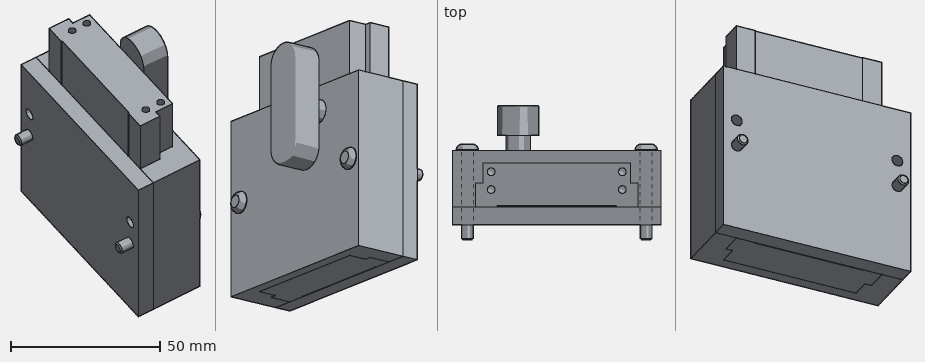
import cadquery as cq
import math


WIDTH = 70.0
BODY_HEIGHT = 62.0
PLATE_THICKNESS = 6.1
HOUSING_DEPTH = 18.9
HOUSING_BACK = PLATE_THICKNESS + HOUSING_DEPTH

SLIDE_HEIGHT = 83.0
SLIDE_WIDE_WIDTH = 54.4
SLIDE_NARROW_WIDTH = 49.5
SLIDE_WIDE_DEPTH = 8.0
CHANNEL_BACK_WALL = 4.15
SLIDE_DEPTH = HOUSING_DEPTH - CHANNEL_BACK_WALL
RELIEF_WIDTH = 40.0
RELIEF_DEPTH = 0.3

DRILL_DIAMETER = 2.6
DRILL_DEPTH = 10.0
DRILL_TIP_ANGLE = 118.0
DRILL_SPACING_X = 44.0
DRILL_SPACING_Y = 6.0
DRILL_BACK_MARGIN = 3.0

SCREW_DIAMETER = 4.0
SCREW_SPACING = 60.0
SCREW_Z = 32.0
SCREW_PROJECTION = 5.0
SCREW_TIP_CHAMFER = 0.5
HEAD_DIAMETER = 7.6
HEAD_HEIGHT = 2.15
HEAD_TOP_DIAMETER = 4.3
HEAD_RIM = 0.25
HEAD_BULGE = 0.3
SPARE_HOLE_RISE = 10.0
SPARE_HOLE_Z = SCREW_Z + SPARE_HOLE_RISE

KNOB_X = -12.95
KNOB_Z = 52.95
KNOB_LENGTH = 42.9
KNOB_WIDTH = 13.95
KNOB_DEPTH = 10.0
KNOB_EDGE_RADIUS = 0.5
SHAFT_DIAMETER = 8.3
SHAFT_LENGTH = 5.1

SCREW_XS = (-SCREW_SPACING / 2, SCREW_SPACING / 2)


def box_between(width, y_start, y_end, height):
    """Block centred on X and standing on the underside plane."""
    block = cq.Workplane("XY").box(width, y_end - y_start, height, centered=(True, False, False))
    return block.translate((0, y_start, 0))


def rod_along_y(diameter, x, z, y_start, y_end):
    """Round rod parallel to Y, also used as the cutter for round holes."""
    axis_start = cq.Vector(x, y_start, z)
    return cq.Workplane(
        cq.Solid.makeCylinder(diameter / 2, y_end - y_start, axis_start, cq.Vector(0, 1, 0))
    )


def stepped_bar(height):
    """T-shaped section: wide against the cover plate, narrower behind."""
    wide = box_between(SLIDE_WIDE_WIDTH, PLATE_THICKNESS, PLATE_THICKNESS + SLIDE_WIDE_DEPTH, height)
    narrow = box_between(SLIDE_NARROW_WIDTH, PLATE_THICKNESS, PLATE_THICKNESS + SLIDE_DEPTH, height)
    return wide.union(narrow)


def drill_cutter(x, y):
    """Blind hole from the top of the slide, ending in a conical drill tip."""
    radius = DRILL_DIAMETER / 2
    tip_height = radius / math.tan(math.radians(DRILL_TIP_ANGLE / 2))
    return (
        cq.Workplane("XZ")
        .polyline([(0, 0), (radius, 0), (radius, -DRILL_DEPTH), (0, -DRILL_DEPTH - tip_height)])
        .close()
        .revolve(360, (0, 0, 0), (0, 1, 0))
        .translate((x, y, SLIDE_HEIGHT))
    )


def make_plate():
    plate = box_between(WIDTH, 0, PLATE_THICKNESS, BODY_HEIGHT)
    for x in SCREW_XS:
        for z in (SCREW_Z, SPARE_HOLE_Z):
            plate = plate.cut(rod_along_y(SCREW_DIAMETER, x, z, 0, PLATE_THICKNESS))
    return plate


def make_housing():
    housing = box_between(WIDTH, PLATE_THICKNESS, HOUSING_BACK, BODY_HEIGHT)
    housing = housing.cut(stepped_bar(BODY_HEIGHT))
    for x in SCREW_XS:
        housing = housing.cut(rod_along_y(SCREW_DIAMETER, x, SCREW_Z, PLATE_THICKNESS, HOUSING_BACK))
    return housing


def make_slide():
    slide = stepped_bar(SLIDE_HEIGHT)
    slide = slide.cut(
        box_between(RELIEF_WIDTH, PLATE_THICKNESS, PLATE_THICKNESS + RELIEF_DEPTH, SLIDE_HEIGHT)
    )
    back_row_y = PLATE_THICKNESS + SLIDE_DEPTH - DRILL_BACK_MARGIN
    for x in (-DRILL_SPACING_X / 2, DRILL_SPACING_X / 2):
        for y in (back_row_y, back_row_y - DRILL_SPACING_Y):
            slide = slide.cut(drill_cutter(x, y))
    return slide


def make_screw(x):
    """Screw through housing and plate, its domed head resting on the back of the housing."""
    shank = rod_along_y(SCREW_DIAMETER, x, SCREW_Z, -SCREW_PROJECTION, HOUSING_BACK)
    shank = shank.faces("<Y").chamfer(SCREW_TIP_CHAMFER)
    head = (
        cq.Workplane("XY")
        .lineTo(HEAD_DIAMETER / 2, 0)
        .lineTo(HEAD_DIAMETER / 2, HEAD_RIM)
        .sagittaArc((HEAD_TOP_DIAMETER / 2, HEAD_HEIGHT), -HEAD_BULGE)
        .lineTo(0, HEAD_HEIGHT)
        .close()
        .revolve(360, (0, 0, 0), (0, 1, 0))
        .translate((x, HOUSING_BACK, SCREW_Z))
    )
    return shank.union(head)


def make_shaft():
    return rod_along_y(SHAFT_DIAMETER, KNOB_X, KNOB_Z, HOUSING_BACK, HOUSING_BACK + SHAFT_LENGTH)


def make_knob():
    """Bar with round ends, rounded along its outer edge."""
    knob = (
        cq.Workplane("XZ", origin=(KNOB_X, HOUSING_BACK + SHAFT_LENGTH, KNOB_Z))
        .slot2D(KNOB_LENGTH, KNOB_WIDTH, 90)
        .extrude(-KNOB_DEPTH)
    )
    return knob.faces(">Y").edges().fillet(KNOB_EDGE_RADIUS)


plate = make_plate()
housing = make_housing()
slide = make_slide()
screws = [make_screw(x) for x in SCREW_XS]
shaft = make_shaft()
knob = make_knob()

result = cq.Compound.makeCompound(
    [
        plate.val(),
        housing.val(),
        slide.val(),
        *[screw.val() for screw in screws],
        shaft.val(),
        knob.val(),
    ]
)